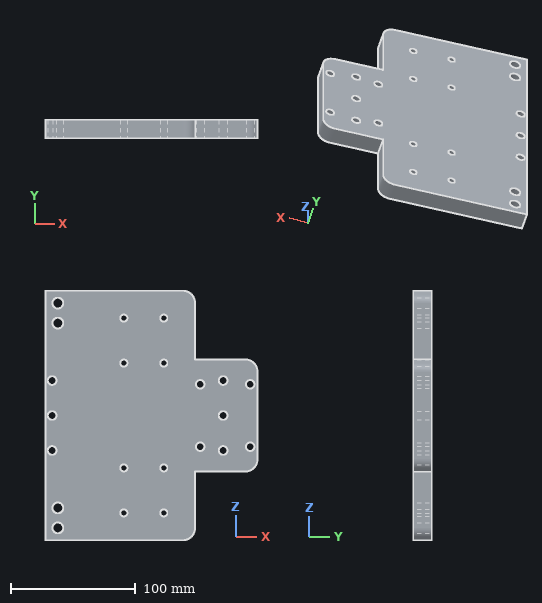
import cadquery as cq

thickness = 15.0
body_length = 120.0
body_height = 200.0
tab_length = 50.0
tab_height = 90.0
corner_radius = 10.0
total_length = body_length + tab_length

edge_large_diameter = 8.5
tab_corner_diameter = 6.6
row_diameter = 6.8
small_diameter = 5.5

edge_large_x = 10.0
edge_large_heights = (74.0, 90.0)
row_pitch = 28.0
edge_row_x = 5.4
tab_row_x = 142.35
small_columns = (62.85, 94.85)
small_heights = (42.0, 78.0)
tab_corner_columns = (124.0, 164.05)
tab_corner_height = 25.0


def rounded_plate(length, height):
    """Plate from X = 0 whose two right-hand corners are rounded."""
    return (
        cq.Workplane("XY")
        .box(length, thickness, height, centered=(False, False, True))
        .edges("|Y and >X")
        .fillet(corner_radius)
    )


def mirrored_points(columns, heights):
    """Points at every column and height, both above and below mid-height."""
    return [(x, side * z) for x in columns for z in heights for side in (1, -1)]


def row_of_three(x):
    """Vertical row of three evenly spaced points about mid-height."""
    return [(x, step * row_pitch) for step in (-1, 0, 1)]


def drill(plate, points, diameter):
    """Cut straight holes through the full thickness."""
    pins = (
        cq.Workplane("XZ")
        .pushPoints(points)
        .circle(diameter / 2)
        .extrude(-thickness)
    )
    return plate.cut(pins)


body = rounded_plate(body_length, body_height)
tab = rounded_plate(total_length, tab_height)
plate = body.union(tab)

plate = drill(plate, mirrored_points([edge_large_x], edge_large_heights), edge_large_diameter)
plate = drill(plate, mirrored_points(small_columns, small_heights), small_diameter)
plate = drill(plate, mirrored_points(tab_corner_columns, [tab_corner_height]), tab_corner_diameter)
plate = drill(plate, row_of_three(edge_row_x) + row_of_three(tab_row_x), row_diameter)

result = plate